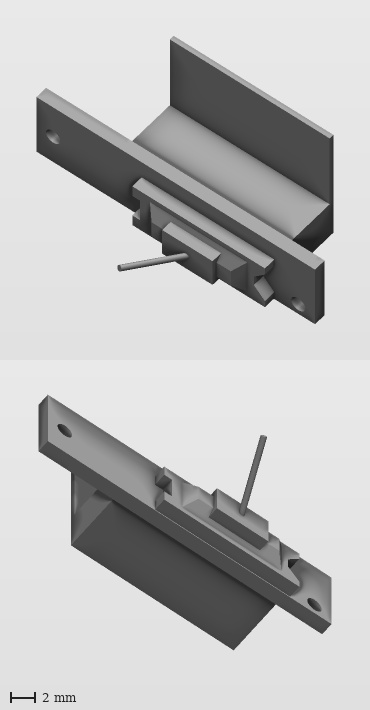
import cadquery as cq

plate_length = 29.5
plate_height = 7.02
plate_thickness = 1.27
hole_diameter = 1.5
hole_centers = [(1.77, 3.25), (27.73, 1.25)]

body_left = 8.32
body_length = 16.93
body_bottom = 1.42
body_height = 4.1
body_depth = 6.43
sheet_thickness = 0.5
sheet_top = 13.98

center_x = 18.17
center_z = 2.6
pad_length = 14.05
pad_height = 5.0
pad_thickness = 1.25
square_notch_depth = 0.83
square_notch_height = 2.5
vee_notch_depth = 1.18
vee_mouth_height = 3.42
vee_floor_height = 1.05
taper_length = 10.32
taper_height = 3.75
taper_rise = 0.97
block_length = 5.35
block_height = 3.05
block_thickness = 1.12
block_front = 2.7

pin_diameter = 0.55
pin_embed = 0.28
pin_shift_x = -2.4
pin_reach = 6.25
pin_shift_z = 2.4


def box_at(x, y, z, length, depth, height):
    """Box given by its lowest X, Y and Z corner."""
    return cq.Workplane("XY").box(length, depth, height, centered=False).translate((x, y, z))


def front_plane(distance):
    """Plane facing -Y at a distance in front of the plate, centered on the front stack."""
    return cq.Workplane("XZ", origin=(center_x, -distance, center_z))


def make_plate():
    plate = box_at(0, 0, 0, plate_length, plate_thickness, plate_height)
    holes = (
        cq.Workplane("XZ")
        .pushPoints(hole_centers)
        .circle(hole_diameter / 2)
        .extrude(-plate_thickness)
    )
    return plate.cut(holes)


def make_rear_body():
    body = box_at(body_left, plate_thickness, body_bottom, body_length, body_depth, body_height)
    sheet_y = plate_thickness + body_depth - sheet_thickness
    sheet_height = sheet_top - body_bottom
    sheet = box_at(body_left, sheet_y, body_bottom, body_length, sheet_thickness, sheet_height)
    return body.union(sheet)


def make_pad():
    half_length = pad_length / 2
    half_height = pad_height / 2
    left_floor = -half_length + square_notch_depth
    right_floor = half_length - vee_notch_depth
    outline = [
        (-half_length, -half_height),
        (half_length, -half_height),
        (half_length, -vee_mouth_height / 2),
        (right_floor, -vee_floor_height / 2),
        (right_floor, vee_floor_height / 2),
        (half_length, vee_mouth_height / 2),
        (half_length, half_height),
        (-half_length, half_height),
        (-half_length, square_notch_height / 2),
        (left_floor, square_notch_height / 2),
        (left_floor, -square_notch_height / 2),
        (-half_length, -square_notch_height / 2),
    ]
    return front_plane(0).polyline(outline).close().extrude(pad_thickness)


def make_taper():
    return front_plane(pad_thickness).rect(taper_length, taper_height).extrude(taper_rise, taper=45)


def make_block():
    block_back = block_front - block_thickness
    return front_plane(block_back).rect(block_length, block_height).extrude(block_thickness)


def make_pin():
    start = cq.Vector(center_x, pin_embed - block_front, center_z)
    shift = cq.Vector(pin_shift_x, -pin_reach, pin_shift_z)
    return cq.Workplane(cq.Solid.makeCylinder(pin_diameter / 2, shift.Length, start, shift))


result = make_plate()
for piece in (make_rear_body(), make_pad(), make_taper(), make_block(), make_pin()):
    result = result.union(piece)